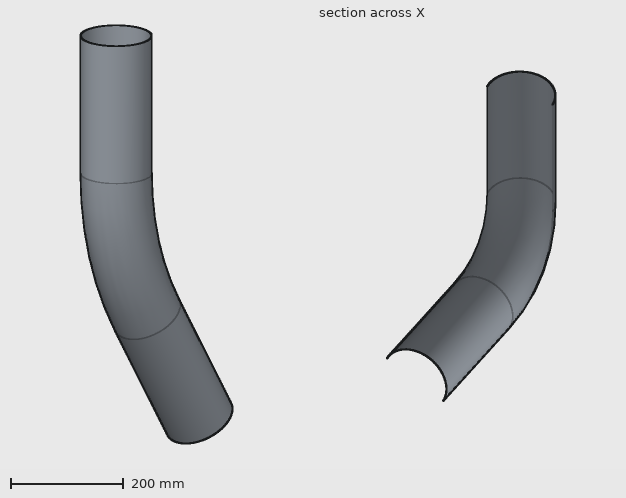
import cadquery as cq
import math

outer_diameter = 127.0
inner_diameter = 124.0
straight_length = 254.0
bend_radius = 557.5
bend_angle = 30.0

angle = math.radians(bend_angle)


def bend_point(turn):
    """Centreline point after the bend has turned by the given angle in radians."""
    y = bend_radius * (1 - math.cos(turn))
    z = -bend_radius * math.sin(turn)
    return (y, z)


bend_start = bend_point(0)
bend_middle = bend_point(angle / 2)
bend_end = bend_point(angle)
top_end = (0, straight_length)
bottom_end = (
    bend_end[0] + straight_length * math.sin(angle),
    bend_end[1] - straight_length * math.cos(angle),
)

centreline = (
    cq.Workplane("YZ")
    .moveTo(*top_end)
    .lineTo(*bend_start)
    .threePointArc(bend_middle, bend_end)
    .lineTo(*bottom_end)
)

result = (
    cq.Workplane("XY", origin=(0, 0, straight_length))
    .circle(outer_diameter / 2)
    .circle(inner_diameter / 2)
    .sweep(centreline)
)